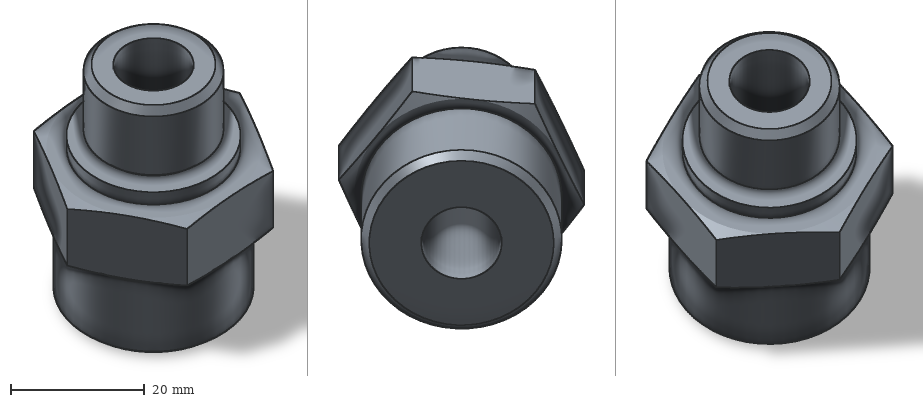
import cadquery as cq
import math

total_height = 45.0
lower_height = 16.0
hex_height = 12.5
collar_height = 2.48

lower_diameter = 30.0
hex_across_flats = 32.0
collar_diameter = 26.0
stud_diameter = 20.95
bore_diameter = 12.0

thread_chamfer = 1.2
hex_chamfer_angle = 15.0

hex_bottom = lower_height
collar_bottom = hex_bottom + hex_height
stud_bottom = collar_bottom + collar_height
stud_height = total_height - stud_bottom


def chamfered_cylinder(diameter, height, bottom):
    """Upright cylinder with both end edges chamfered."""
    return (
        cq.Workplane("XY", origin=(0, 0, bottom))
        .circle(diameter / 2)
        .extrude(height)
        .edges("%CIRCLE")
        .chamfer(thread_chamfer)
    )


def chamfered_hexagon():
    """Hexagon with flats facing +X and -X, its corners trimmed by a cone at each end."""
    across_corners = hex_across_flats / math.cos(math.radians(30))
    prism = (
        cq.Workplane("XY", origin=(0, 0, hex_bottom))
        .transformed(rotate=(0, 0, 30))
        .polygon(6, across_corners)
        .extrude(hex_height)
    )
    face_radius = hex_across_flats / 2
    corner_radius = across_corners / 2
    corner_drop = (corner_radius - face_radius) * math.tan(math.radians(hex_chamfer_angle))
    envelope = (
        cq.Workplane("XZ")
        .moveTo(0, hex_bottom)
        .lineTo(face_radius, hex_bottom)
        .lineTo(corner_radius, hex_bottom + corner_drop)
        .lineTo(corner_radius, collar_bottom - corner_drop)
        .lineTo(face_radius, collar_bottom)
        .lineTo(0, collar_bottom)
        .close()
        .revolve(360, (0, 0, 0), (0, 1, 0))
    )
    return prism.intersect(envelope)


lower_body = chamfered_cylinder(lower_diameter, lower_height, 0)
collar = (
    cq.Workplane("XY", origin=(0, 0, collar_bottom))
    .circle(collar_diameter / 2)
    .extrude(collar_height)
)
stud = chamfered_cylinder(stud_diameter, stud_height, stud_bottom)
bore = cq.Workplane("XY").circle(bore_diameter / 2).extrude(total_height)

result = lower_body.union(chamfered_hexagon()).union(collar).union(stud).cut(bore)